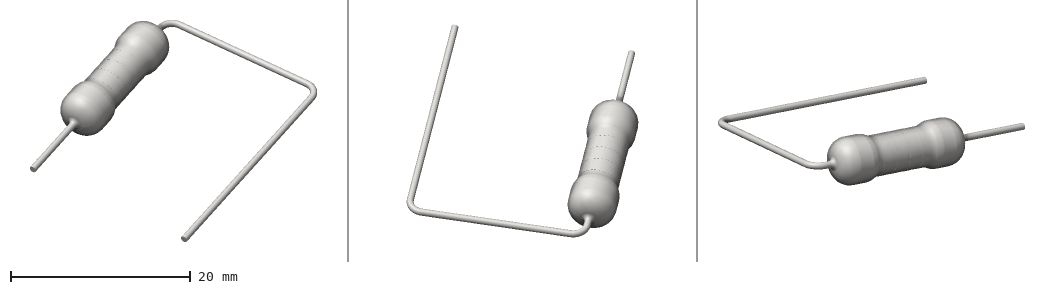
import cadquery as cq
import math

wire_diameter = 0.8
bend_radius = 2 * wire_diameter
lead_spacing = 20.0
overall_length = 28.1
lead_loop_reach = 11.27

body_length = 16.58
cap_diameter = 5.5
cap_round_radius = 1.97
cap_straight_length = 1.65
lead_fillet_radius = 0.55

waist_diameter = 4.66
band_diameter = 4.7
band_count = 4
band_pitch = 1.75
band_width = band_pitch / 2

wire_radius = wire_diameter / 2
cap_radius = cap_diameter / 2
waist_radius = waist_diameter / 2
body_end = body_length / 2
cap_outer_y = body_end - cap_round_radius
cap_inner_y = cap_outer_y - cap_straight_length
waist_end = (2 * band_count - 1) * band_width / 2
waist_core_end = waist_end - band_width
shoulder_middle_y = (cap_inner_y + waist_end) / 2
shoulder_middle_radius = (cap_radius + waist_radius) / 2
lead_end_y = lead_loop_reach - overall_length
loop_y = lead_loop_reach - wire_radius

round_center_radius = cap_radius - cap_round_radius
fillet_center_radius = wire_radius + lead_fillet_radius
center_distance = cap_round_radius + lead_fillet_radius
center_offset = fillet_center_radius - round_center_radius
fillet_center_y = cap_outer_y + math.sqrt(center_distance**2 - center_offset**2)


def point_on_circle(center, radius, angle):
    return (center[0] + radius * math.cos(angle), center[1] + radius * math.sin(angle))


def make_body_end():
    """Revolve the +Y end of the body, from under the last band to the tip of the lead fillet."""
    round_center = (round_center_radius, cap_outer_y)
    fillet_center = (fillet_center_radius, fillet_center_y)
    contact_angle = math.acos(center_offset / center_distance)
    contact = point_on_circle(round_center, cap_round_radius, contact_angle)
    round_middle = point_on_circle(round_center, cap_round_radius, contact_angle / 2)
    fillet_middle_angle = math.pi + contact_angle / 2
    fillet_middle = point_on_circle(fillet_center, lead_fillet_radius, fillet_middle_angle)
    profile = (
        cq.Workplane("XY")
        .moveTo(0, waist_core_end)
        .lineTo(waist_radius, waist_core_end)
        .lineTo(waist_radius, waist_end)
        .tangentArcPoint((shoulder_middle_radius, shoulder_middle_y), relative=False)
        .tangentArcPoint((cap_radius, cap_inner_y), relative=False)
        .lineTo(cap_radius, cap_outer_y)
        .threePointArc(round_middle, contact)
        .threePointArc(fillet_middle, (wire_radius, fillet_center_y))
        .lineTo(0, fillet_center_y)
        .close()
    )
    return profile.revolve(360, (0, 0, 0), (0, 1, 0))


def make_band(index):
    """Slightly raised colour band around the waist."""
    start_y = -waist_end + index * band_pitch
    band = cq.Workplane("XZ").circle(band_diameter / 2).extrude(-band_width)
    return band.translate((0, start_y, 0))


def make_wire():
    """Single wire through the body, over the loop and down to the far lead end."""
    corner_middle = bend_radius * (1 - math.sqrt(0.5))
    bend_y = loop_y - bend_radius
    path = (
        cq.Workplane("XY")
        .moveTo(0, lead_end_y)
        .lineTo(0, bend_y)
        .threePointArc((corner_middle, loop_y - corner_middle), (bend_radius, loop_y))
        .lineTo(lead_spacing - bend_radius, loop_y)
        .threePointArc(
            (lead_spacing - corner_middle, loop_y - corner_middle),
            (lead_spacing, bend_y),
        )
        .lineTo(lead_spacing, lead_end_y)
    )
    section = cq.Workplane("XZ", origin=(0, lead_end_y, 0)).circle(wire_radius)
    return section.sweep(path)


body_tip = make_body_end()
waist_core = cq.Workplane("XZ").circle(waist_radius).extrude(waist_core_end, both=True)
result = waist_core.union(body_tip).union(body_tip.mirror("XZ"))
for band_index in range(band_count):
    result = result.union(make_band(band_index))
result = result.union(make_wire())